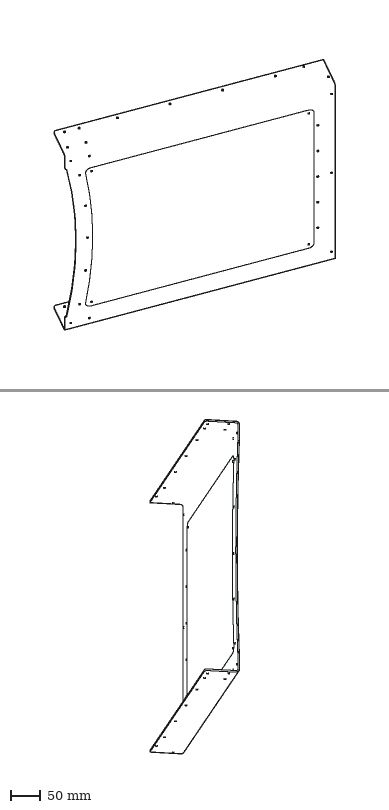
import cadquery as cq
import math

DEPTH = 60.0
LENGTH = 488.0
HEIGHT = 446.0
SHEET = 3.0
BEND_INNER = 3.5
BEND_OUTER = BEND_INNER + SHEET
FLANGE_CORNER = 5.0

EDGE_RADIUS = 1025.0
EDGE_MIDDLE_Y = -224.0
EDGE_CENTER_Y = EDGE_MIDDLE_Y - EDGE_RADIUS
TAB_INNER_Z = 189.0
TAB_SLOPE_HEIGHT = 3.5

WINDOW_BACK_Y = 205.5
WINDOW_HALF_HEIGHT = 175.0
WINDOW_CORNER = 10.0
WINDOW_EDGE_GAP = 30.0
WINDOW_EDGE_RADIUS = EDGE_RADIUS + WINDOW_EDGE_GAP

SMALL_HOLE = 2.9
MEDIUM_HOLE = 3.3
LARGE_HOLE = 3.5

WEB_CORNER_HOLES = [(237.0, 200.0), (-200.0, 205.5), (-233.8, 205.5)]
WEB_EDGE_HOLES = [(-217.5, 163.5)]
WEB_LARGE_HOLES = [(-207.0, 82.0)]
WEB_CENTER_HOLES = [(237.0, 0), (-203.5, 0)]
WEB_ROW_Y = 212.5
WEB_ROW_PITCH = 65.0
WEB_ROW_COUNT = 5

PANEL_HOLE_Y = 196.0
PANEL_HOLE_Z = 166.0

FLANGE_ROW_X = -22.0
FLANGE_ROW_START_Y = 154.0
FLANGE_ROW_PITCH = 95.0
FLANGE_ROW_COUNT = 4
FLANGE_FRONT_Y = -200.0
FLANGE_INNER_X = 13.0
FLANGE_SINGLE_HOLES = [
    (10.0, 238.5),
    (-26.0, 207.0),
    (FLANGE_INNER_X, -233.8),
]
FLANGE_PAIR_HOLES = [(FLANGE_ROW_X, FLANGE_FRONT_Y), (FLANGE_INNER_X, FLANGE_FRONT_Y)]
FLANGE_LARGE_HOLES = [(FLANGE_ROW_X, -226.5)]

WEB_OUTER_X = DEPTH / 2
WEB_INNER_X = WEB_OUTER_X - SHEET

CUT_START_X = WEB_INNER_X - SHEET
CUT_DEPTH = 3 * SHEET


def arc_y(radius, z):
    """Y of a point at height z on an arc about the concave edge's center."""
    return EDGE_CENTER_Y + math.sqrt(radius**2 - z**2)


def mirrored(points):
    """Points (Y, Z) together with their copies at -Z."""
    return points + [(y, -z) for y, z in points]


def web_cylinders(points, diameter):
    """Cylinders along X, through the web at each (Y, Z)."""
    plane = cq.Workplane("YZ", origin=(CUT_START_X, 0, 0))
    return plane.pushPoints(points).circle(diameter / 2).extrude(CUT_DEPTH)


def flange_cylinders(points, diameter):
    """Cylinders along Z, through both flanges at each (X, Y)."""
    plane = cq.Workplane("XY", origin=(0, 0, -HEIGHT))
    return plane.pushPoints(points).circle(diameter / 2).extrude(2 * HEIGHT)


def bent_sheet():
    """Sheet folded to a channel, its length along Y."""
    outer = cq.Workplane("XY").box(DEPTH, LENGTH, HEIGHT).edges("|Y and >X").fillet(BEND_OUTER)
    inner = (
        cq.Workplane("XY")
        .box(DEPTH, LENGTH, HEIGHT - 2 * SHEET)
        .edges("|Y and >X")
        .fillet(BEND_INNER)
        .translate((-SHEET, 0, 0))
    )
    return outer.cut(inner).edges("|Z and <X and <Y").fillet(FLANGE_CORNER)


def concave_edge_cutter():
    """Waste between the two tabs, outside the concave edge of the web."""
    front_y = -LENGTH / 2
    arc_end_z = TAB_INNER_Z - TAB_SLOPE_HEIGHT
    arc_end_y = arc_y(EDGE_RADIUS, arc_end_z)
    return (
        cq.Workplane("YZ", origin=(CUT_START_X, 0, 0))
        .moveTo(front_y, -TAB_INNER_Z)
        .lineTo(arc_end_y, -arc_end_z)
        .threePointArc((EDGE_MIDDLE_Y, 0), (arc_end_y, arc_end_z))
        .lineTo(front_y, TAB_INNER_Z)
        .close()
        .extrude(CUT_DEPTH)
    )


def window_block():
    """Solid that exactly fills the rounded window through the web."""
    corner_y = arc_y(WINDOW_EDGE_RADIUS, WINDOW_HALF_HEIGHT)
    return (
        cq.Workplane("YZ", origin=(WEB_INNER_X, 0, 0))
        .moveTo(WINDOW_BACK_Y, WINDOW_HALF_HEIGHT)
        .lineTo(corner_y, WINDOW_HALF_HEIGHT)
        .threePointArc((EDGE_MIDDLE_Y + WINDOW_EDGE_GAP, 0), (corner_y, -WINDOW_HALF_HEIGHT))
        .lineTo(WINDOW_BACK_Y, -WINDOW_HALF_HEIGHT)
        .close()
        .extrude(SHEET)
        .edges("|X")
        .fillet(WINDOW_CORNER)
    )


def make_channel():
    """Folded channel with its concave edge, window and holes."""
    row_middle = (WEB_ROW_COUNT - 1) / 2
    web_row = [(WEB_ROW_Y, (i - row_middle) * WEB_ROW_PITCH) for i in range(WEB_ROW_COUNT)]
    flange_row = [
        (FLANGE_ROW_X, FLANGE_ROW_START_Y - i * FLANGE_ROW_PITCH) for i in range(FLANGE_ROW_COUNT)
    ]
    channel = bent_sheet().cut(concave_edge_cutter()).cut(window_block())
    small_web_holes = mirrored(WEB_CORNER_HOLES + WEB_EDGE_HOLES) + WEB_CENTER_HOLES
    channel = channel.cut(web_cylinders(small_web_holes, SMALL_HOLE))
    channel = channel.cut(web_cylinders(web_row, MEDIUM_HOLE))
    channel = channel.cut(web_cylinders(mirrored(WEB_LARGE_HOLES), LARGE_HOLE))
    channel = channel.cut(flange_cylinders(FLANGE_SINGLE_HOLES, SMALL_HOLE))
    channel = channel.cut(flange_cylinders(flange_row + FLANGE_PAIR_HOLES, MEDIUM_HOLE))
    return channel.cut(flange_cylinders(FLANGE_LARGE_HOLES, LARGE_HOLE))


def make_panel():
    """Flat panel filling the window, with a hole in each corner."""
    corners = mirrored([(PANEL_HOLE_Y, PANEL_HOLE_Z), (-PANEL_HOLE_Y, PANEL_HOLE_Z)])
    return window_block().cut(web_cylinders(corners, SMALL_HOLE))


channel = make_channel()
panel = make_panel()
result = cq.Compound.makeCompound([channel.val(), panel.val()])